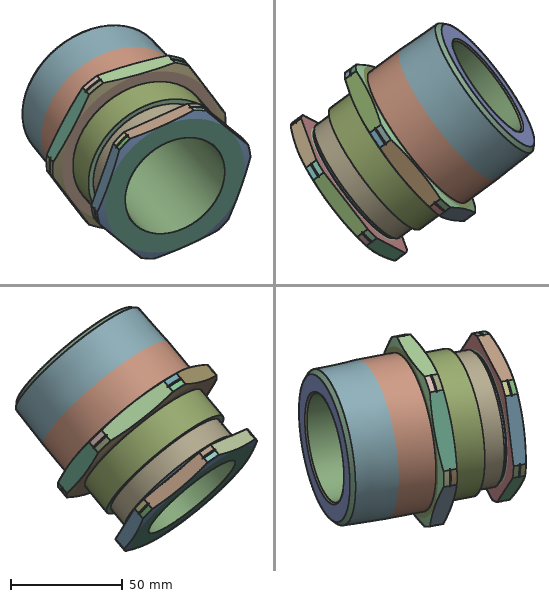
import cadquery as cq
import math

total_length = 83.5
bore_radius = 25.0
bore_chamfer = 0.8

thread_radius = 36.4
taper_tip_radius = 35.8
thread_tip_radius = 33.8
tip_chamfer_length = 2.0
taper_end = 22.4

body_radius = 33.9
body_end = 64.4
neck_radius = 31.4
neck_end = 74.5

relief_radius = 30.1
relief_start = neck_end + neck_radius - relief_radius
relief_end = 76.1
relief_rim_radius = 31.3

front_hex_start = 40.1
front_hex_width = 8.7
front_hex_flats = 79.0
front_corner_radius = 43.4
front_face_radius = 39.2
front_hex_angle = 0.0
front_groove_offset = front_hex_width / 2

rear_hex_start = 76.4
rear_hex_width = total_length - rear_hex_start
rear_hex_flats = 70.2
rear_corner_radius = 38.65
rear_face_radius = 34.8
rear_hex_angle = 10.0
rear_groove_offset = 3.0

hex_chamfer_angle = 15.0
groove_width = 0.6
groove_depth = 0.3


def revolve_about_x(points):
    """Solid of revolution about the X axis from (x, radius) points."""
    return cq.Workplane("XY").polyline(points).close().revolve(360, (0, 0, 0), (1, 0, 0))


def make_hex(start, width, flats, corner_radius, face_radius, angle, groove_offset, chamfer_front):
    """Hexagon with rounded corners, conical face chamfers and a V groove around its corners."""
    corner_diameter = flats / math.cos(math.radians(30))
    prism = (
        cq.Workplane("YZ", origin=(start, 0, 0))
        .transformed(rotate=(0, 0, angle))
        .polygon(6, corner_diameter)
        .extrude(width)
    )
    end = start + width
    groove_x = start + groove_offset
    chamfer_length = (corner_radius - face_radius) * math.tan(math.radians(hex_chamfer_angle))
    if chamfer_front:
        front_edge = [(start, face_radius), (start + chamfer_length, corner_radius)]
    else:
        front_edge = [(start, corner_radius)]
    envelope = revolve_about_x(
        [(start, 0)]
        + front_edge
        + [
            (groove_x - groove_width / 2, corner_radius),
            (groove_x, corner_radius - groove_depth),
            (groove_x + groove_width / 2, corner_radius),
            (end - chamfer_length, corner_radius),
            (end, face_radius),
            (end, 0),
        ]
    )
    return prism.intersect(envelope)


body = revolve_about_x(
    [
        (0, 0),
        (0, thread_tip_radius),
        (tip_chamfer_length, taper_tip_radius),
        (taper_end, thread_radius),
        (front_hex_start, thread_radius),
        (front_hex_start, body_radius),
        (body_end, body_radius),
        (body_end, neck_radius),
        (neck_end, neck_radius),
        (relief_start, relief_radius),
        (relief_end, relief_radius),
        (rear_hex_start, relief_rim_radius),
        (total_length, relief_rim_radius),
        (total_length, 0),
    ]
)

front_hex = make_hex(
    front_hex_start, front_hex_width, front_hex_flats, front_corner_radius, front_face_radius,
    front_hex_angle, front_groove_offset, chamfer_front=True,
)
rear_hex = make_hex(
    rear_hex_start, rear_hex_width, rear_hex_flats, rear_corner_radius, rear_face_radius,
    rear_hex_angle, rear_groove_offset, chamfer_front=False,
)

bore = revolve_about_x(
    [
        (0, 0),
        (0, bore_radius + bore_chamfer),
        (bore_chamfer, bore_radius),
        (total_length, bore_radius),
        (total_length, 0),
    ]
)

result = body.union(front_hex).union(rear_hex).cut(bore)